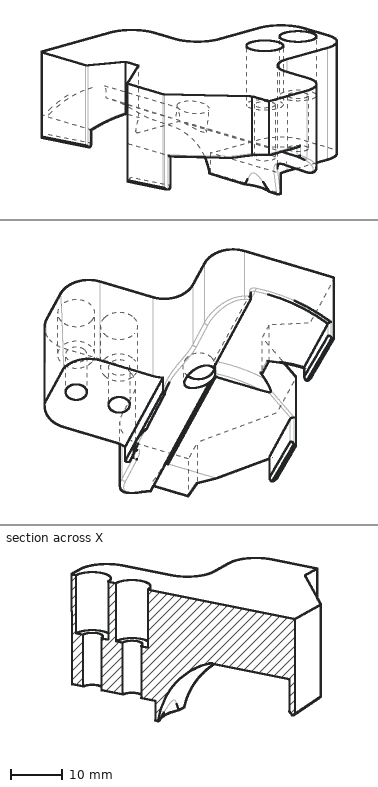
import cadquery as cq
import math

HALF_WIDTH = 27.5
LENGTH = 50.9
HEIGHT = 26.85
OVERCUT = 1.1
HOLLOW_FLOOR_Z = -HEIGHT - 2 * OVERCUT

STEM_HALF_WIDTH = 9.5
SHOULDER_Y = -23.05
CORNER_RADIUS = 6.0
LEFT_FRONT_Y = -48.0
RIGHT_FRONT_Y = -39.45
NOTCH_Y = -40.8
NOTCH_LEFT_X = -11.15
NOTCH_RIGHT_X = -7.55
LEFT_BLOCK_END_X = -14.7
CENTER_BLOCK_LEFT_X = -0.35
CENTER_BLOCK_RIGHT_X = 9.8
RIGHT_FLAT_START_X = 22.75
FRONT_EDGE_RADIUS = 0.5

STEM_BOTTOM_Z = -22.75
LIP_BACK_Y = -19.05
REAR_TAPER = 0.15

HOLE_DIAMETER = 4.1
BORE_DIAMETER = 7.2
BORE_DEPTH = 12.0
REAR_HOLE_Y = -4.8
HOLE_PITCH = 9.0

LEFT_ARC = [(-19.15, -HEIGHT - OVERCUT), (-22.95, -18.15), (-31.9, -12.55)]
RIGHT_ARC = [(-20.0, -HEIGHT - OVERCUT), (-23.8, -19.15), (-31.9, -12.75)]

LEFT_BACK_Y = -30.5
LEFT_ROOF_TOP_Y = -34.65
LEFT_ROOF_TOP_Z = -10.0
LEFT_ROOF_RADIUS = 23.65
LEFT_END_X = -5.4
LEFT_END_RADIUS = 1.65
LEFT_BACK_RADIUS = 1.1
LEFT_WALL_Y = -46.75
LEFT_WALL_BOTTOM_Z = -17.6
LEFT_WALL_RISE = 0.9

TRIM_MARGIN = 2.75
WALL_BEVEL = 0.65

CENTER_ROOF_Z = -12.75
CENTER_WALL_Y = -49.5
CENTER_WALL_BOTTOM_Z = -20.1
CENTER_WALL_RISE = 0.65
RIGHT_RISE_START_X = 19.4
RIGHT_RISE_END_Z = -11.05
RIGHT_RISE_BACK_Y = -31.35

RECESS_DIAMETER = 6.25
RECESS_X = -4.85
RECESS_Y = -28.6
RECESS_TOP_Z = -10.45
RECESS_LENGTH = 9.9
RECESS_LEAN = 8.0

SCOOP_RADIUS = 9.35
SCOOP_X = 3.9
SCOOP_LENGTH = 7.7
SCOOP_LEAN = 27.0

RIM_RADIUS = 0.45
RIM_TOP_Z = -8.25
WALL_RIM_BOTTOM_Z = -16.2
TOUCH_TOLERANCE = 0.0005


def box(x_range, y_range, z_range):
    """Box between the given coordinate limits."""
    size = [abs(limits[1] - limits[0]) for limits in (x_range, y_range, z_range)]
    corner = [min(limits) for limits in (x_range, y_range, z_range)]
    return cq.Workplane("XY").box(*size, centered=False).translate(tuple(corner))


def side_profile(start_x):
    """Workplane whose local axes are the part's Y and Z."""
    return cq.Workplane("YZ", origin=(start_x, 0, 0))


def upright_edges(front_y, rear_y):
    """Selector for the vertical edges between two y positions."""
    reach = 2 * HALF_WIDTH
    zone = cq.selectors.BoxSelector(
        (-reach, front_y - TOUCH_TOLERANCE, -reach), (reach, rear_y + TOUCH_TOLERANCE, reach)
    )
    return cq.selectors.AndSelector(cq.selectors.ParallelDirSelector(cq.Vector(0, 0, 1)), zone)


def make_blank():
    outline = [
        (-STEM_HALF_WIDTH, 0),
        (STEM_HALF_WIDTH, 0),
        (STEM_HALF_WIDTH, SHOULDER_Y),
        (HALF_WIDTH, SHOULDER_Y),
        (HALF_WIDTH, RIGHT_FRONT_Y),
        (RIGHT_FLAT_START_X, RIGHT_FRONT_Y),
        (CENTER_BLOCK_RIGHT_X, -LENGTH),
        (CENTER_BLOCK_LEFT_X, -LENGTH),
        (NOTCH_RIGHT_X, NOTCH_Y),
        (NOTCH_LEFT_X, NOTCH_Y),
        (LEFT_BLOCK_END_X, LEFT_FRONT_Y),
        (-HALF_WIDTH, LEFT_FRONT_Y),
        (-HALF_WIDTH, SHOULDER_Y),
        (-STEM_HALF_WIDTH, SHOULDER_Y),
    ]
    blank = cq.Workplane("XY").polyline(outline).close().extrude(-HEIGHT - OVERCUT)
    blank = blank.edges(upright_edges(SHOULDER_Y, 0)).fillet(CORNER_RADIUS)
    return blank.edges(upright_edges(-LENGTH, LEFT_FRONT_Y)).fillet(FRONT_EDGE_RADIUS)


def stem_underside():
    return box((-HALF_WIDTH, HALF_WIDTH), (LIP_BACK_Y, OVERCUT), (HOLLOW_FLOOR_Z, STEM_BOTTOM_Z))


def base_trim():
    """Everything below the underside of the lip."""
    return box((-HALF_WIDTH, HALF_WIDTH), (-LENGTH, 0), (HOLLOW_FLOOR_Z, -HEIGHT))


def rear_taper():
    return (
        side_profile(-HALF_WIDTH)
        .polyline([(0, 0), (-REAR_TAPER, STEM_BOTTOM_Z), (OVERCUT, STEM_BOTTOM_Z), (OVERCUT, 0)])
        .close()
        .extrude(2 * HALF_WIDTH)
    )


def rear_hollow():
    """Concave back of the hollow, blended from the left side to the right side."""
    def section(x, arc):
        start, middle, end = [cq.Vector(x, y, z) for y, z in arc]
        below_end = cq.Vector(end.x, end.y, HOLLOW_FLOOR_Z)
        below_start = cq.Vector(start.x, start.y, HOLLOW_FLOOR_Z)
        return cq.Wire.assembleEdges([
            cq.Edge.makeThreePointArc(start, middle, end),
            cq.Edge.makeLine(end, below_end),
            cq.Edge.makeLine(below_end, below_start),
            cq.Edge.makeLine(below_start, start),
        ])

    sections = [section(-HALF_WIDTH - OVERCUT, LEFT_ARC), section(HALF_WIDTH + OVERCUT, RIGHT_ARC)]
    return cq.Workplane(cq.Solid.makeLoft(sections, True))


def roof_z(y):
    """Height of the arched roof of the left hollow."""
    drop = LEFT_ROOF_RADIUS - math.sqrt(LEFT_ROOF_RADIUS**2 - (y - LEFT_ROOF_TOP_Y) ** 2)
    return LEFT_ROOF_TOP_Z - drop


def left_hollow():
    hollow = (
        side_profile(-HALF_WIDTH - OVERCUT)
        .moveTo(LEFT_BACK_Y, HOLLOW_FLOOR_Z)
        .lineTo(LEFT_BACK_Y, roof_z(LEFT_BACK_Y))
        .threePointArc((NOTCH_Y, roof_z(NOTCH_Y)), (LEFT_WALL_Y, roof_z(LEFT_WALL_Y)))
        .lineTo(LEFT_WALL_Y, HOLLOW_FLOOR_Z)
        .close()
        .extrude(LEFT_END_X + HALF_WIDTH + OVERCUT)
    )
    back_top = cq.selectors.NearestToPointSelector((LEFT_BLOCK_END_X, LEFT_BACK_Y, roof_z(LEFT_BACK_Y)))
    hollow = hollow.edges(back_top).fillet(LEFT_BACK_RADIUS)
    end_top = cq.selectors.NearestToPointSelector((LEFT_END_X, NOTCH_Y, roof_z(NOTCH_Y)))
    return hollow.edges(end_top).fillet(LEFT_END_RADIUS)


def center_hollow():
    return box(
        (LEFT_END_X - OVERCUT / 4, HALF_WIDTH + OVERCUT),
        (RIGHT_ARC[2][0] + OVERCUT / 2, CENTER_WALL_Y),
        (HOLLOW_FLOOR_Z, CENTER_ROOF_Z),
    )


def wall_trim(start_x, end_x, inner_y, outer_y, bottom_z, rise):
    """Removes what lies below a front wall, leaving a bevelled bottom that rises to the right."""
    trim = (
        side_profile(-TRIM_MARGIN)
        .moveTo(inner_y, -2 * HEIGHT)
        .lineTo(inner_y, bottom_z + WALL_BEVEL)
        .lineTo(inner_y - WALL_BEVEL, bottom_z)
        .lineTo(outer_y + RIM_RADIUS, bottom_z)
        .lineTo(outer_y - OVERCUT, bottom_z + RIM_RADIUS + OVERCUT)
        .lineTo(outer_y - OVERCUT, -2 * HEIGHT)
        .close()
        .extrude(end_x - start_x + 2 * TRIM_MARGIN)
    )
    slope = math.degrees(math.atan2(rise, end_x - start_x))
    return trim.rotate((0, 0, bottom_z), (0, 1, bottom_z), -slope).translate((start_x, 0, 0))


def left_wall_trim():
    return wall_trim(
        -HALF_WIDTH, LEFT_BLOCK_END_X, LEFT_WALL_Y, LEFT_FRONT_Y, LEFT_WALL_BOTTOM_Z, LEFT_WALL_RISE
    )


def center_wall_trim():
    return wall_trim(
        CENTER_BLOCK_LEFT_X, CENTER_BLOCK_RIGHT_X, CENTER_WALL_Y, -LENGTH,
        CENTER_WALL_BOTTOM_Z, CENTER_WALL_RISE,
    )


def right_rise():
    """Sloping part of the roof that climbs toward the right side."""
    return (
        cq.Workplane("XZ", origin=(0, RIGHT_RISE_BACK_Y, 0))
        .polyline([
            (RIGHT_RISE_START_X, CENTER_ROOF_Z),
            (HALF_WIDTH, RIGHT_RISE_END_Z),
            (HALF_WIDTH, CENTER_ROOF_Z),
        ])
        .close()
        .extrude(LENGTH)
    )


def round_recess():
    recess = cq.Workplane("XY").circle(RECESS_DIAMETER / 2).extrude(-RECESS_LENGTH)
    recess = recess.rotate((0, 0, 0), (0, 1, 0), RECESS_LEAN)
    return recess.translate((RECESS_X, RECESS_Y, RECESS_TOP_Z))


def lip_scoop():
    scoop = cq.Workplane("XY").circle(SCOOP_RADIUS).extrude(SCOOP_LENGTH + OVERCUT)
    scoop = scoop.translate((SCOOP_X, -SCOOP_RADIUS, -OVERCUT))
    scoop = scoop.rotate((0, 0, 0), (1, 0, 0), SCOOP_LEAN)
    return scoop.translate((0, LIP_BACK_Y, -HEIGHT))


def screw_holes():
    centers = [(0, REAR_HOLE_Y), (0, REAR_HOLE_Y - HOLE_PITCH)]
    through = cq.Workplane("XY").pushPoints(centers).circle(HOLE_DIAMETER / 2).extrude(-HEIGHT)
    bores = cq.Workplane("XY").pushPoints(centers).circle(BORE_DIAMETER / 2).extrude(-BORE_DEPTH)
    return through.union(bores)


def lies_on(edge, faces):
    """True when the whole edge runs along one of the faces."""
    probes = [cq.Vertex.makeVertex(*edge.positionAt(t).toTuple()) for t in (0, 0.3, 0.6, 1)]
    return any(all(face.distance(probe) < TOUCH_TOLERANCE for probe in probes) for face in faces)


def round_rim(body, blank):
    """Rounds the edges where the hollows meet the outer sides, away from the bevelled wall bottoms."""
    sides = blank.faces("not |Z").vals()
    rim = []
    for edge in body.edges().vals():
        middle = edge.positionAt(0.5)
        is_low = max(edge.startPoint().z, edge.endPoint().z) < RIM_TOP_Z
        on_wall_bottom = middle.y < LEFT_ROOF_TOP_Y and middle.z < WALL_RIM_BOTTOM_Z
        on_hollow_end = (
            NOTCH_RIGHT_X < middle.x < LEFT_END_X + TOUCH_TOLERANCE and middle.y < LEFT_ROOF_TOP_Y
        )
        behind_lip = middle.y > LIP_BACK_Y
        if is_low and not (on_wall_bottom or on_hollow_end or behind_lip) and lies_on(edge, sides):
            rim.append(edge)
    return body.newObject(rim).fillet(RIM_RADIUS)


blank = make_blank()
hollows = [rear_hollow(), left_hollow(), center_hollow(), right_rise()]
wall_trims = [left_wall_trim(), center_wall_trim()]
details = [base_trim(), stem_underside(), rear_taper(), screw_holes(), round_recess(), lip_scoop()]

body = blank
for cutter in hollows + wall_trims:
    body = body.cut(cutter)
body = round_rim(body, blank)
for cutter in details:
    body = body.cut(cutter)
result = body